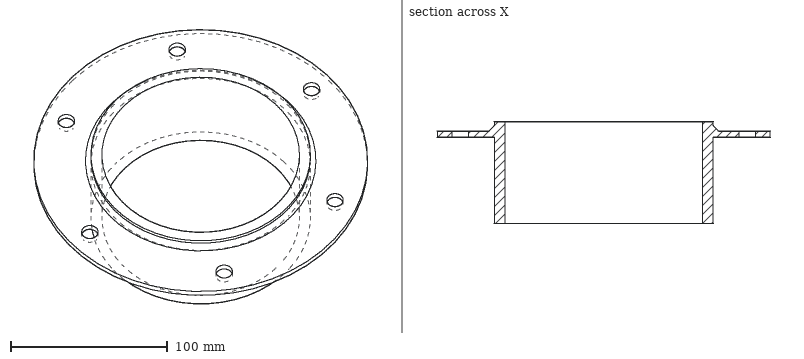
import cadquery as cq

tube_length = 65.0
tube_diameter = 140.0
bore_diameter = 126.0

flange_diameter = 213.0
flange_thickness = 4.0
flange_setback = 6.0
flange_top = tube_length - flange_setback
flange_bottom = flange_top - flange_thickness

weld_leg = 3.5

bolt_hole_count = 6
bolt_hole_diameter = 10.5
bolt_circle_diameter = 183.0
first_bolt_angle = 90.0


def flanged_tube():
    """Tube, flange and weld revolved about Z from one radial section."""
    bore_radius = bore_diameter / 2
    tube_radius = tube_diameter / 2
    flange_radius = flange_diameter / 2
    section = [
        (bore_radius, 0),
        (tube_radius, 0),
        (tube_radius, flange_bottom),
        (flange_radius, flange_bottom),
        (flange_radius, flange_top),
        (tube_radius + weld_leg, flange_top),
        (tube_radius, flange_top + weld_leg),
        (tube_radius, tube_length),
        (bore_radius, tube_length),
    ]
    return cq.Workplane("XZ").polyline(section).close().revolve(360, (0, 0), (0, 1))


def bolt_holes():
    """Evenly spaced cylinders that cut through the flange."""
    return (
        cq.Workplane("XY")
        .workplane(offset=flange_bottom)
        .polarArray(bolt_circle_diameter / 2, first_bolt_angle, 360, bolt_hole_count)
        .circle(bolt_hole_diameter / 2)
        .extrude(flange_thickness)
    )


result = flanged_tube().cut(bolt_holes())